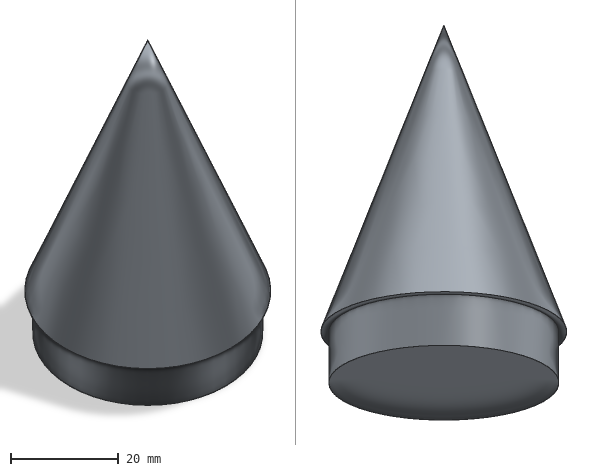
import cadquery as cq

total_height = 70.0
cone_diameter = 45.6
spigot_diameter = 42.6
spigot_height = 10.0

cone_radius = cone_diameter / 2
cone_height = total_height - spigot_height

spigot = cq.Workplane("XY").circle(spigot_diameter / 2).extrude(spigot_height)

cone = (
    cq.Workplane("XZ")
    .moveTo(0, spigot_height)
    .lineTo(cone_radius, spigot_height)
    .lineTo(0, spigot_height + cone_height)
    .close()
    .revolve(360, (0, 0, 0), (0, 1, 0))
)

result = spigot.union(cone)